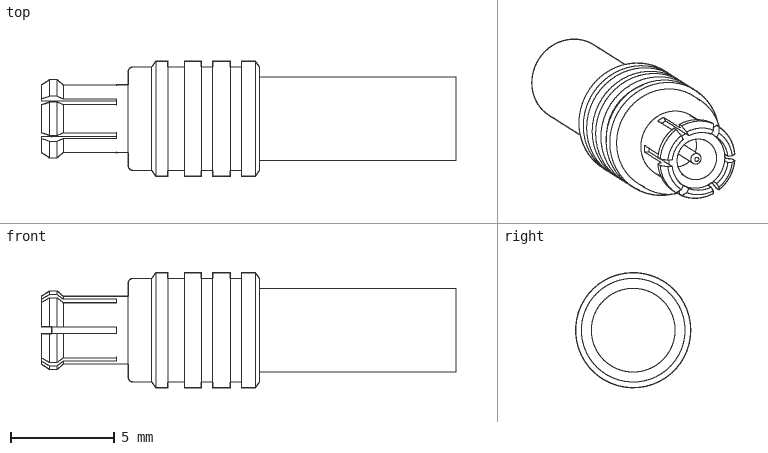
import cadquery as cq

LENGTH = 20.05
MATING_X = -LENGTH / 2


SLEEVE_RADIUS = 1.65
SLEEVE_BORE_RADIUS = 1.42
BULGE_RADIUS = 1.9
BULGE_START = 0.4
BULGE_END = 0.76
BULGE_FOOT = 1.06
SLOT_COUNT = 6
SLOT_WIDTH = 0.32
SLOT_LENGTH = 3.63

BARREL_START = 4.2
BARREL_END = 10.55
BARREL_RADIUS = 2.5
BARREL_ROUND = 0.25
RING_RADIUS = 2.79
RING_SPANS = [(5.33, 6.12), (6.92, 7.74), (8.28, 9.15), (9.66, BARREL_END)]
RING_CHAMFER_LENGTH = 0.2
RING_CHAMFER_DEPTH = RING_RADIUS - BARREL_RADIUS

TUBE_RADIUS = 2.03

INSULATOR_START = 0.5
INSULATOR_END = BARREL_START
SOCKET_RADIUS = 1.0
SOCKET_FLOOR = SLOT_LENGTH
PIN_RADIUS = 0.26
PIN_START = INSULATOR_START
PIN_TIP_RADIUS = 0.1
PIN_TAPER = 0.15


def cylinder(start, end, radius):
    """Cylinder on the connector axis, placed by distances from the mating end."""
    return cq.Workplane("YZ", origin=(MATING_X + start, 0, 0)).circle(radius).extrude(end - start)


def revolve_outline(points):
    """Revolve an outline of (distance from the mating end, radius) points about the axis."""
    outline = cq.Workplane("XY", origin=(MATING_X, 0, 0)).polyline(points).close()
    return outline.revolve(360, (0, 0, 0), (1, 0, 0))


def make_sleeve():
    """Solid blank of the spring sleeve, with its bulge, reaching the barrel."""
    return revolve_outline([
        (0, 0),
        (0, SLEEVE_RADIUS),
        (BULGE_START, BULGE_RADIUS),
        (BULGE_END, BULGE_RADIUS),
        (BULGE_FOOT, SLEEVE_RADIUS),
        (BARREL_START, SLEEVE_RADIUS),
        (BARREL_START, 0),
    ])


def make_barrel():
    """Barrel with a rounded front edge and raised rings, chamfered at both outer ends of the row."""
    barrel = cylinder(BARREL_START, BARREL_END, BARREL_RADIUS).faces("<X").edges().fillet(BARREL_ROUND)
    rings = [cylinder(start, end, RING_RADIUS) for start, end in RING_SPANS]
    rings[0] = rings[0].faces("<X").edges().chamfer(RING_CHAMFER_LENGTH, RING_CHAMFER_DEPTH)
    rings[-1] = rings[-1].faces(">X").edges().chamfer(RING_CHAMFER_LENGTH, RING_CHAMFER_DEPTH)
    for ring in rings:
        barrel = barrel.union(ring)
    return barrel


def cut_slots(body):
    """Cut evenly spaced radial slots through the sleeve wall, from its mouth."""
    slot = cq.Workplane("XY", origin=(MATING_X, 0, 0)).box(
        SLOT_LENGTH, BULGE_RADIUS, SLOT_WIDTH, centered=(False, False, True)
    )
    for index in range(SLOT_COUNT):
        body = body.cut(slot.rotate((0, 0, 0), (1, 0, 0), index * 360 / SLOT_COUNT))
    return body


def make_housing():
    tube = cylinder(BARREL_END, LENGTH, TUBE_RADIUS)
    body = make_sleeve().union(make_barrel()).union(tube)
    body = body.cut(cylinder(0, INSULATOR_END, SLEEVE_BORE_RADIUS))
    return cut_slots(body)


def make_insulator():
    """Insulator filling the sleeve bore, with the centre pin standing in its socket."""
    block = cylinder(INSULATOR_START, INSULATOR_END, SLEEVE_BORE_RADIUS)
    block = block.cut(cylinder(INSULATOR_START, SOCKET_FLOOR, SOCKET_RADIUS))
    pin = revolve_outline([
        (PIN_START, 0),
        (PIN_START, PIN_TIP_RADIUS),
        (PIN_START + PIN_TAPER, PIN_RADIUS),
        (SOCKET_FLOOR, PIN_RADIUS),
        (SOCKET_FLOOR, 0),
    ])
    return block.union(pin)


housing = make_housing()
insulator = make_insulator()

result = cq.Compound.makeCompound([housing.val(), insulator.val()])